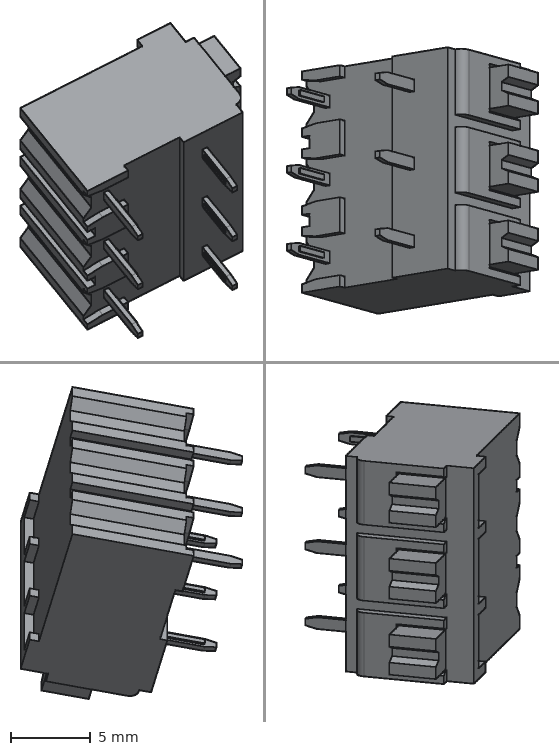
import cadquery as cq


pole_count = 3
total_height = 14.2
pole_height = 4.2
pitch = (total_height - pole_height) / (pole_count - 1)
gap_height = pitch - pole_height
pole_centers = [pole_height / 2 + i * pitch for i in range(pole_count)]
gap_centers = [z + pitch / 2 for z in pole_centers[:-1]]

housing_left = 0.6
housing_right = 8.4
housing_back = 11.56
rib_left = 1.78
rib_right = 7.64
rib_back = 12.18
rib_radius = 0.6
foot_height = 0.47
foot_floor = housing_right - foot_height
foot_gap_front = 3.02
foot_gap_back = 7.15

flange_front = 9.09
flange_bar_front = 10.56
flange_tab_height = 0.71

groove_depth = 0.6
groove_mouth_height = 2.43
groove_floor_height = 1.01

opening_mouth_height = 3.12
opening_height = 2.75
foot_chamfer_depth = 1.14
rib_chamfer_depth = 0.28

button_left = 1.83
button_right = 4.88
button_back = 13.65
button_height = 2.64
button_notch_mouth = 1.05
button_notch_floor = 0.53
button_notch_depth = 0.54

pin_end = 11.9
pin_taper_start = 11.13
pin_height = 0.77
pin_tip_height = 0.43
pin_thickness = 0.35
front_pin_y = 1.52
back_pin_y = 8.55
bead_start = 8.65
bead_width = 0.37
bead_thickness = 0.11
bead_corner_radius = 0.1


def box(x0, x1, y0, y1, z0, z1):
    """Box between two opposite corners."""
    return cq.Workplane("XY").box(x1 - x0, y1 - y0, z1 - z0, centered=False).translate((x0, y0, z0))


def prism_along_x(points, x0, x1):
    """Closed (y, z) outline extruded from x0 to x1."""
    return cq.Workplane("YZ").workplane(offset=x0).polyline(points).close().extrude(x1 - x0)


def prism_along_y(points, y0, y1):
    """Closed (x, z) outline extruded from y0 to y1."""
    return cq.Workplane("XZ").workplane(offset=-y1).polyline(points).close().extrude(y1 - y0)


def trapezoid(y_mouth, y_floor, mouth_height, floor_height, z):
    """(y, z) corners of a groove section centered on z."""
    return [
        (y_mouth, z - mouth_height / 2),
        (y_floor, z - floor_height / 2),
        (y_floor, z + floor_height / 2),
        (y_mouth, z + mouth_height / 2),
    ]


def make_housing():
    """Full-height block with feet on +X, a flange on -X and a rib along the back."""
    block = box(housing_left, housing_right, 0, housing_back, 0, total_height)
    foot_gap = box(foot_floor, housing_right, foot_gap_front, foot_gap_back, 0, total_height)
    flange = box(0, housing_left, flange_front, housing_back, 0, total_height)
    rib = (
        box(rib_left, rib_right, housing_back, rib_back, 0, total_height)
        .edges(">X and >Y")
        .fillet(rib_radius)
    )
    return block.cut(foot_gap).union(flange).union(rib)


def cut_flange_pockets(body):
    """Open the flange between its tabs, which sit at both ends and at the pole joints."""
    half_tab = flange_tab_height / 2
    lower_faces = [flange_tab_height] + [z + half_tab for z in gap_centers]
    upper_faces = [z - half_tab for z in gap_centers] + [total_height - flange_tab_height]
    for z0, z1 in zip(lower_faces, upper_faces):
        body = body.cut(box(0, housing_left, flange_front, flange_bar_front, z0, z1))
    return body


def cut_pole_gaps(body):
    """Slots that separate neighboring poles on the front face and in the back rib."""
    for z in gap_centers:
        z0 = z - gap_height / 2
        z1 = z + gap_height / 2
        body = body.cut(box(housing_left, housing_right, 0, groove_depth, z0, z1))
        body = body.cut(box(rib_left, rib_right, housing_back, rib_back, z0, z1))
    return body


def chamfered_opening(x0, x1, y_mouth, y_throat, y_end, z):
    """Cutter that narrows from y_mouth to y_throat and runs straight on to y_end."""
    half_mouth = opening_mouth_height / 2
    half_throat = opening_height / 2
    outline = [
        (y_mouth, z - half_mouth),
        (y_throat, z - half_throat),
        (y_end, z - half_throat),
        (y_end, z + half_throat),
        (y_throat, z + half_throat),
        (y_mouth, z + half_mouth),
    ]
    return prism_along_x(outline, x0, x1)


def cut_pole_openings(body, z):
    """Front groove, front foot opening and back rib opening of one pole."""
    groove = trapezoid(0, groove_depth, groove_mouth_height, groove_floor_height, z)
    body = body.cut(prism_along_x(groove, housing_left, housing_right))
    body = body.cut(chamfered_opening(foot_floor, housing_right, 0, foot_chamfer_depth, foot_gap_front, z))
    rib_throat = rib_back - rib_chamfer_depth
    return body.cut(chamfered_opening(rib_left, button_right, rib_back, rib_throat, housing_back, z))


def make_button(z):
    """Push button with a tapered notch across its outer end."""
    z0 = z - button_height / 2
    z1 = z + button_height / 2
    notch_floor_y = button_back - button_notch_depth
    notch = trapezoid(button_back, notch_floor_y, button_notch_mouth, button_notch_floor, z)
    button = box(button_left, button_right, housing_back, button_back, z0, z1)
    return button.cut(prism_along_x(notch, button_left, button_right))


def make_pin(y0, z, bead_y0):
    """Flat pin with a tapered tip and a round-cornered bead on one face."""
    outline = [
        (foot_floor, z - pin_height / 2),
        (pin_taper_start, z - pin_height / 2),
        (pin_end, z - pin_tip_height / 2),
        (pin_end, z + pin_tip_height / 2),
        (pin_taper_start, z + pin_height / 2),
        (foot_floor, z + pin_height / 2),
    ]
    bead = (
        cq.Workplane("XZ")
        .workplane(offset=-(bead_y0 + bead_thickness))
        .center((bead_start + pin_taper_start) / 2, z)
        .rect(pin_taper_start - bead_start, bead_width)
        .extrude(bead_thickness)
        .edges("|Y")
        .fillet(bead_corner_radius)
    )
    return prism_along_y(outline, y0, y0 + pin_thickness).union(bead)


result = cut_pole_gaps(cut_flange_pockets(make_housing()))
for pole_z in pole_centers:
    result = cut_pole_openings(result, pole_z)
    result = result.union(make_button(pole_z))
    result = result.union(make_pin(front_pin_y, pole_z, front_pin_y + pin_thickness))
    result = result.union(make_pin(back_pin_y, pole_z, back_pin_y - bead_thickness))